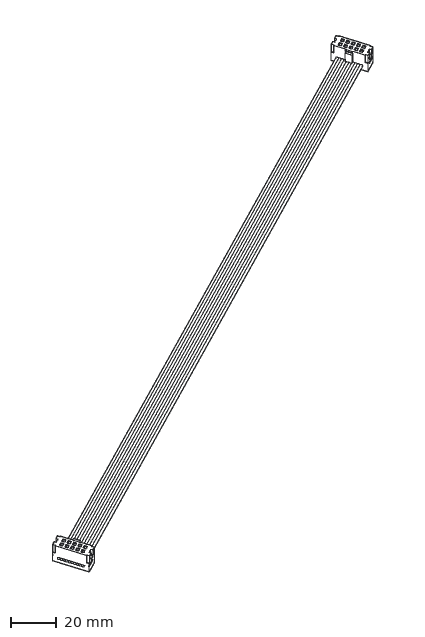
import cadquery as cq
import math

LENGTH = 323.0
CONNECTOR_WIDTH = 17.5
CONNECTOR_HEIGHT = 10.3
CONNECTOR_DEPTH = 6.0
TOP = CONNECTOR_HEIGHT / 2

WIRE_COUNT = 10
WIRE_DIAMETER = 1.35
WIRE_PITCH = 1.25
CABLE_Z = -2.42

HOLE_COLUMNS = WIRE_COUNT // 2
HOLE_ROWS = 2
HOLE_PITCH = 2 * WIRE_PITCH
HOLE_SIZE = 1.1
HOLE_ENTRY_SIZE = 1.42
HOLE_ENTRY_DEPTH = 0.3
HOLE_FLOOR_Z = -0.3

KEY_WIDTH = 3.2
KEY_DEPTH = 1.0
KEY_BOTTOM_Z = CABLE_Z + WIRE_DIAMETER / 2
KEY_NOTCH_HEIGHT = 1.3
KEY_LIP_THICKNESS = 0.2
KEY_NOTCH_TOP_Z = TOP - KEY_LIP_THICKNESS

END_LENGTH = 1.3
END_SETBACK = 0.3
SHOULDER_Z = 0.3

RECESS_WIDTH = 2.0
RECESS_DEPTH = 1.0
RECESS_BOTTOM_Z = 0.5
SLOPE_TOP_Z = 3.5

SEAM_LENGTH = 4.2
SEAM_HEIGHT = 0.3
SEAM_DEPTH = 0.3
SEAM_BOTTOM_Z = -1.5

INNER_FACE_Y = CONNECTOR_DEPTH / 2
END_X = CONNECTOR_WIDTH / 2
CONNECTOR_Y = (LENGTH - CONNECTOR_DEPTH) / 2


def box(width, depth, bottom, top, x=0, y=0):
    """Box centred on the given X and Y, between two heights."""
    return cq.Workplane(origin=(x, y, bottom)).rect(width, depth).extrude(top - bottom)


def make_cable():
    """Ten round wires side by side, merged into one flat ribbon."""
    first_x = -(WIRE_COUNT - 1) * WIRE_PITCH / 2
    for i in range(WIRE_COUNT):
        wire = (
            cq.Workplane("XZ", origin=(first_x + i * WIRE_PITCH, LENGTH / 2, CABLE_Z))
            .circle(WIRE_DIAMETER / 2)
            .extrude(LENGTH)
        )
        ribbon = wire if i == 0 else ribbon.union(wire)
    return ribbon


def make_key():
    """Ridge on the inner face, notched just below its top."""
    key_y = INNER_FACE_Y + KEY_DEPTH / 2
    key = box(KEY_WIDTH, KEY_DEPTH, KEY_BOTTOM_Z, TOP, y=key_y)
    notch = box(KEY_WIDTH, KEY_DEPTH, KEY_NOTCH_TOP_Z - KEY_NOTCH_HEIGHT, KEY_NOTCH_TOP_Z, y=key_y)
    return key.cut(notch)


def hole_grid(z):
    """Workplane at height z with a point at every contact hole."""
    return cq.Workplane(origin=(0, 0, z)).rarray(HOLE_PITCH, HOLE_PITCH, HOLE_COLUMNS, HOLE_ROWS)


def make_contact_holes():
    """Square blind holes from the top face, each with a tapered entry."""
    taper = math.degrees(math.atan2((HOLE_ENTRY_SIZE - HOLE_SIZE) / 2, HOLE_ENTRY_DEPTH))
    shafts = hole_grid(HOLE_FLOOR_Z).rect(HOLE_SIZE, HOLE_SIZE).extrude(TOP - HOLE_FLOOR_Z)
    entries = (
        hole_grid(TOP)
        .rect(HOLE_ENTRY_SIZE, HOLE_ENTRY_SIZE)
        .extrude(-HOLE_ENTRY_DEPTH, taper=taper)
    )
    return shafts.union(entries)


def make_end_setbacks():
    """Strips removed from the two Y faces of the +X end, above the shoulder."""
    x = END_X - END_LENGTH / 2
    y = (CONNECTOR_DEPTH - END_SETBACK) / 2
    front = box(END_LENGTH, END_SETBACK, SHOULDER_Z, TOP, x, -y)
    back = box(END_LENGTH, END_SETBACK, SHOULDER_Z, TOP, x, y)
    return front.union(back)


def make_end_recess():
    """Recess in the +X end face, open at the top."""
    return (
        cq.Workplane("XZ", origin=(0, RECESS_WIDTH / 2, 0))
        .moveTo(END_X, RECESS_BOTTOM_Z)
        .lineTo(END_X, TOP)
        .lineTo(END_X - RECESS_DEPTH, TOP)
        .lineTo(END_X - RECESS_DEPTH, SLOPE_TOP_Z)
        .close()
        .extrude(RECESS_WIDTH)
    )


def make_seam():
    """Seam groove in the +X end face."""
    x = END_X - SEAM_DEPTH / 2
    y = -INNER_FACE_Y + SEAM_LENGTH / 2
    return box(SEAM_DEPTH, SEAM_LENGTH, SEAM_BOTTOM_Z, SEAM_BOTTOM_Z + SEAM_HEIGHT, x, y)


def make_connector(cable, end):
    """Connector at the -Y end (-1) or the +Y end (+1), with a passage that fits the cable."""
    end_cuts = make_end_setbacks().union(make_end_recess()).union(make_seam())
    connector = (
        box(CONNECTOR_WIDTH, CONNECTOR_DEPTH, -TOP, TOP)
        .cut(make_contact_holes())
        .cut(end_cuts)
        .cut(end_cuts.mirror("YZ"))
        .union(make_key())
    )
    if end > 0:
        connector = connector.rotate((0, 0, 0), (0, 0, 1), 180)
    return connector.translate((0, end * CONNECTOR_Y, 0)).cut(cable)


cable = make_cable()
connectors = [make_connector(cable, end) for end in (-1, 1)]

result = cq.Compound.makeCompound([cable.val(), *[connector.val() for connector in connectors]])